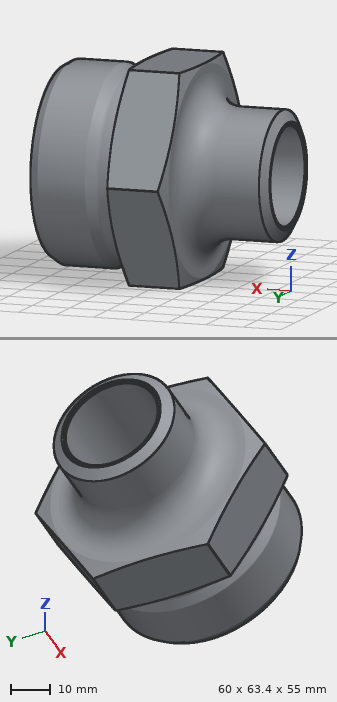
import cadquery as cq
import math

TOTAL_LENGTH = 60.0
FLARE_START = 14.0
HEX_START = 22.0
HEX_END = 38.0
COLLAR_START = 44.7

BORE_DIAMETER = 25.4
PIPE_DIAMETER = 33.4
PIPE_FACE_DIAMETER = 27.4
GROOVE_DIAMETER = 48.9
COLLAR_DIAMETER = 52.0
HEX_FLATS = 55.0
HEX_CORNER_DIAMETER = 63.4
HEX_FACE_DIAMETER = 54.05

HEX_CHAMFER_ANGLE = 15.0
BEVEL_ANGLE = 30.0
GROOVE_FILLET = 1.15
COLLAR_ROUND = 0.7
COLLAR_END_ROUND = 0.5
COLLAR_END_CHAMFER = 2.6
BORE_CHAMFER = 0.4

BEVEL_SLOPE = math.tan(math.radians(BEVEL_ANGLE))

groove_radius = GROOVE_DIAMETER / 2
collar_radius = COLLAR_DIAMETER / 2
groove_end = COLLAR_START - (collar_radius - groove_radius) / BEVEL_SLOPE
collar_end_bevel_start = TOTAL_LENGTH - COLLAR_END_CHAMFER
collar_face_radius = collar_radius - COLLAR_END_CHAMFER * BEVEL_SLOPE


def revolve_about_x(profile):
    """Turn a closed XY profile about the X axis."""
    return profile.close().revolve(360, (0, 0, 0), (1, 0, 0))


def pipe_end():
    """Weld end with a bevelled rim and a concave quarter-round flare up to the hexagon."""
    radius = PIPE_DIAMETER / 2
    face_radius = PIPE_FACE_DIAMETER / 2
    bevel_length = (radius - face_radius) * BEVEL_SLOPE
    flare_radius = HEX_START - FLARE_START
    flare_middle = (
        FLARE_START + flare_radius * math.sin(math.pi / 4),
        radius + flare_radius * (1 - math.cos(math.pi / 4)),
    )
    profile = (
        cq.Workplane("XY")
        .lineTo(0, face_radius)
        .lineTo(bevel_length, radius)
        .lineTo(FLARE_START, radius)
        .threePointArc(flare_middle, (HEX_START, radius + flare_radius))
        .lineTo(HEX_START, 0)
    )
    return revolve_about_x(profile)


def hexagon():
    """Hexagon with points on +Y and -Y, its corners trimmed and coned on both faces."""
    length = HEX_END - HEX_START
    prism = (
        cq.Workplane("YZ", origin=(HEX_START, 0, 0))
        .polygon(6, HEX_FLATS / math.cos(math.pi / 6))
        .extrude(length)
    )
    face_radius = HEX_FACE_DIAMETER / 2
    corner_radius = HEX_CORNER_DIAMETER / 2
    cone_depth = (corner_radius - face_radius) * math.tan(math.radians(HEX_CHAMFER_ANGLE))
    envelope = (
        cq.Workplane("XY")
        .moveTo(HEX_START, 0)
        .lineTo(HEX_START, face_radius)
        .lineTo(HEX_START + cone_depth, corner_radius)
        .lineTo(HEX_END - cone_depth, corner_radius)
        .lineTo(HEX_END, face_radius)
        .lineTo(HEX_END, 0)
    )
    return prism.intersect(revolve_about_x(envelope))


def collar_end():
    """Collar behind a relief groove, bevelled at both ends."""
    profile = (
        cq.Workplane("XY")
        .moveTo(HEX_END, 0)
        .lineTo(HEX_END, groove_radius)
        .lineTo(groove_end, groove_radius)
        .lineTo(COLLAR_START, collar_radius)
        .lineTo(collar_end_bevel_start, collar_radius)
        .lineTo(TOTAL_LENGTH, collar_face_radius)
        .lineTo(TOTAL_LENGTH, 0)
    )
    return revolve_about_x(profile)


def circle_at(x, radius):
    """Select circular edges at the given station, up to the given radius."""
    margin = 0.03
    reach = radius + margin
    return cq.selectors.BoxSelector(
        (x - margin, -reach, -reach), (x + margin, reach, reach), boundingbox=True
    )


body = pipe_end().union(hexagon()).union(collar_end())

for station, radius, fillet_radius in (
    (HEX_END, groove_radius, GROOVE_FILLET),
    (groove_end, groove_radius, GROOVE_FILLET),
    (COLLAR_START, collar_radius, COLLAR_ROUND),
    (collar_end_bevel_start, collar_radius, COLLAR_END_ROUND),
    (TOTAL_LENGTH, collar_face_radius, COLLAR_END_ROUND),
):
    body = body.edges(circle_at(station, radius)).fillet(fillet_radius)

bore = cq.Workplane("YZ").circle(BORE_DIAMETER / 2).extrude(TOTAL_LENGTH)
body = body.cut(bore)
result = body.edges(circle_at(0, BORE_DIAMETER / 2)).chamfer(BORE_CHAMFER)